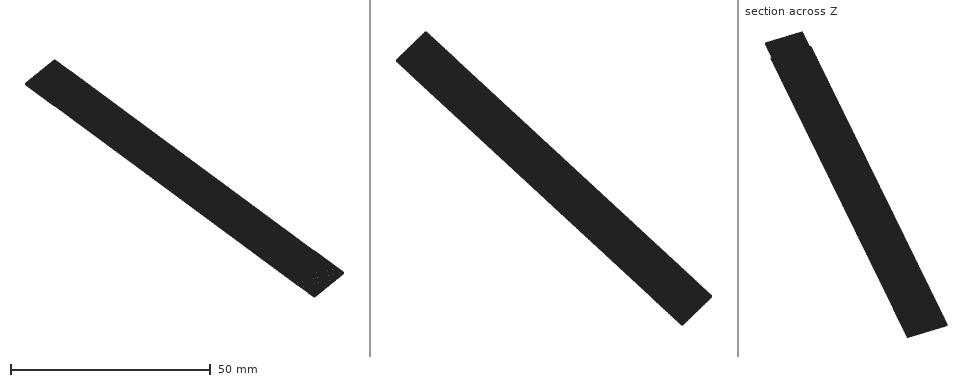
import cadquery as cq

length = 100.0
width = 10.5
overall_thickness = 0.59

conductor_pitch = 0.5
conductor_width = 0.3
conductor_thickness = 0.05
conductor_count = round(width / conductor_pitch) - 1

film_thickness = 0.045
contact_length = 5.0

cable_thickness = conductor_thickness + 2 * film_thickness
stiffener_thickness = (overall_thickness - cable_thickness) / 2
stiffener_length = 10.0

lower_film_bottom = stiffener_thickness
conductor_bottom = lower_film_bottom + film_thickness
conductor_top = conductor_bottom + conductor_thickness
upper_film_top = conductor_top + film_thickness


def layer(x_start, x_end, z_bottom, thickness):
    """Full-width flat layer between two X positions."""
    center_x = (x_start + x_end) / 2
    plane = cq.Workplane("XY", origin=(center_x, 0, z_bottom))
    return plane.rect(x_end - x_start, width).extrude(thickness)


def conductors():
    """Row of full-length strips, centred across the cable width."""
    plane = cq.Workplane("XY", origin=(length / 2, 0, conductor_bottom))
    row = plane.rarray(1, conductor_pitch, 1, conductor_count)
    return row.rect(length, conductor_width).extrude(conductor_thickness)


lower_film = layer(0, length - contact_length, lower_film_bottom, film_thickness)
upper_film = layer(contact_length, length, conductor_top, film_thickness)

lower_stiffener = layer(0, stiffener_length, 0, stiffener_thickness)
upper_stiffener = layer(length - stiffener_length, length, upper_film_top, stiffener_thickness)

result = (
    lower_film.union(upper_film)
    .union(lower_stiffener)
    .union(upper_stiffener)
    .union(conductors())
)